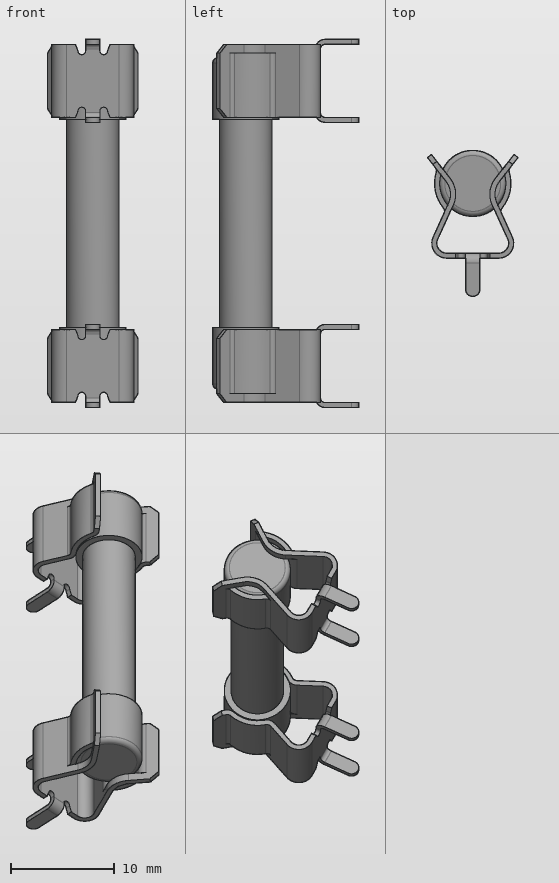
import cadquery as cq
import math


overall_width = 8.77
overall_depth = 14.13
overall_length = 35.6
sheet = 0.5

fuse_length = 32
tube_radius = 2.55
cap_radius = 3.2
cap_edge_radius = 0.5
cap_overhang = 0.2

clip_height = 7.05
stop_band = 0.85
plate_outer_y = -7.23
arm_angle = math.radians(24.5)
lip_angle = math.radians(38)
pinch_corner = (-1.536, -0.741)
base_bend_radius = 1.2
pinch_bend_radius = 2.25
saddle_bend_radius = 0.75
lip_chamfer = 0.85

pin_width = 1.4
pin_tip_y = cap_radius - overall_depth
pin_bend_radius = 0.45
notch_radius = 0.36
notch_straight = 0.62
notch_flare = 0.24

clip_top = overall_length / 2 - sheet
clip_bottom = clip_top - clip_height
saddle_top = clip_top - stop_band
plate_mid_y = plate_outer_y + sheet / 2
plate_inner_y = plate_outer_y + sheet
saddle_radius = cap_radius + sheet / 2
arm_direction = (math.sin(arm_angle), math.cos(arm_angle))
lip_direction = (-math.sin(lip_angle), math.cos(lip_angle))
base_corner = (
    pinch_corner[0] + (plate_mid_y - pinch_corner[1]) * math.tan(arm_angle),
    plate_mid_y,
)
lip_tip_x = -overall_width / 2 + sheet / 2 * math.cos(lip_angle)
lip_tip = (
    lip_tip_x,
    pinch_corner[1] + (pinch_corner[0] - lip_tip_x) / math.tan(lip_angle),
)


def along(point, direction, distance):
    return (point[0] + direction[0] * distance, point[1] + direction[1] * distance)


def unit(start, end):
    length = math.dist(start, end)
    return ((end[0] - start[0]) / length, (end[1] - start[1]) / length)


def rounded_corner(before, corner, after, radius):
    """Start, middle and end of the arc that rounds a corner of a path."""
    back = unit(corner, before)
    ahead = unit(corner, after)
    half_angle = math.acos(back[0] * ahead[0] + back[1] * ahead[1]) / 2
    setback = radius / math.tan(half_angle)
    inward = unit((0, 0), (back[0] + ahead[0], back[1] + ahead[1]))
    middle = along(corner, inward, radius / math.sin(half_angle) - radius)
    return along(corner, back, setback), middle, along(corner, ahead, setback)


def saddle_bend(direction, travel):
    """Arc joining a straight wall to the saddle around the cap, from wall to saddle.

    travel is +1 or -1: which way along the wall the bend lies from the pinch corner.
    """
    outward = (-direction[1], direction[0])
    offset_point = along(pinch_corner, outward, saddle_bend_radius)
    projection = offset_point[0] * direction[0] + offset_point[1] * direction[1]
    reach = saddle_radius + saddle_bend_radius
    square_gap = math.hypot(*offset_point) ** 2 - reach ** 2
    center = along(offset_point, direction, -projection + travel * math.sqrt(projection ** 2 - square_gap))
    on_wall = along(center, outward, -saddle_bend_radius)
    on_saddle = along((0, 0), unit((0, 0), center), saddle_radius)
    chord_middle = ((on_wall[0] + on_saddle[0]) / 2, (on_wall[1] + on_saddle[1]) / 2)
    middle = along(center, unit(center, chord_middle), saddle_bend_radius)
    return on_wall, middle, on_saddle


def start_path(z):
    """Mid-line of the wall from the middle of the base plate round the base bend."""
    start, middle, end = rounded_corner((0, plate_mid_y), base_corner, pinch_corner, base_bend_radius)
    path = cq.Workplane("XY", origin=(0, 0, z)).moveTo(0, plate_mid_y)
    return path.lineTo(*start).threePointArc(middle, end)


def pinched_path(z):
    start, middle, end = rounded_corner(base_corner, pinch_corner, lip_tip, pinch_bend_radius)
    return start_path(z).lineTo(*start).threePointArc(middle, end).lineTo(*lip_tip)


def saddle_path(z):
    arm_end, lower_middle, saddle_start = saddle_bend(arm_direction, -1)
    lip_start, upper_middle, saddle_end = saddle_bend(lip_direction, 1)
    path = start_path(z).lineTo(*arm_end).threePointArc(lower_middle, saddle_start)
    path = path.threePointArc((-saddle_radius, 0), saddle_end)
    return path.threePointArc(upper_middle, lip_start).lineTo(*lip_tip)


def wall(path_at, bottom, top):
    middle_z = (bottom + top) / 2
    section = cq.Workplane("YZ", origin=(0, plate_mid_y, middle_z)).rect(sheet, top - bottom)
    return section.sweep(path_at(middle_z))


def chamfer_lip(half_clip):
    """Bevel the two free corners of the lip at 45 degrees in the plane of the lip."""
    lip_plane = cq.Plane(
        origin=(lip_tip[0], lip_tip[1], 0),
        xDir=(-lip_direction[0], -lip_direction[1], 0),
        normal=(-lip_direction[1], lip_direction[0], 0),
    )
    for edge_z, inward in ((clip_top, -1), (clip_bottom, 1)):
        corner = (
            cq.Workplane(lip_plane)
            .polyline([(0, edge_z), (lip_chamfer, edge_z), (0, edge_z + inward * lip_chamfer)])
            .close()
            .extrude(sheet, both=True)
        )
        half_clip = half_clip.cut(corner)
    return half_clip


def pin_relief():
    """Gap in the upper edge of the base plate: the pin root and a notch on each side."""
    inner_x = pin_width / 2
    center_x = inner_x + notch_radius
    outer_x = center_x + notch_radius
    straight_z = clip_top - notch_straight
    notch = (
        cq.Workplane("XZ", origin=(0, plate_inner_y, 0))
        .moveTo(inner_x, clip_top)
        .lineTo(inner_x, straight_z)
        .threePointArc((center_x, straight_z - notch_radius), (outer_x, straight_z))
        .lineTo(outer_x + notch_flare, clip_top)
        .close()
        .extrude(sheet)
    )
    root = cq.Workplane("XY").box(pin_width, sheet, pin_bend_radius)
    root = root.translate((0, plate_mid_y, clip_top - pin_bend_radius / 2))
    return root.union(notch).union(notch.mirror("YZ"))


def pin():
    """Pin bent out of the upper edge of the base plate, with a half-round tip."""
    bend_y = plate_outer_y - pin_bend_radius
    bend_z = clip_top - pin_bend_radius
    outer_radius = pin_bend_radius + sheet
    diagonal = math.sqrt(0.5)
    profile = (
        cq.Workplane("YZ", origin=(-pin_width / 2, 0, 0))
        .moveTo(plate_inner_y, bend_z)
        .threePointArc(
            (bend_y + outer_radius * diagonal, bend_z + outer_radius * diagonal),
            (bend_y, clip_top + sheet),
        )
        .lineTo(pin_tip_y, clip_top + sheet)
        .lineTo(pin_tip_y, clip_top)
        .lineTo(bend_y, clip_top)
        .threePointArc(
            (bend_y + pin_bend_radius * diagonal, bend_z + pin_bend_radius * diagonal),
            (plate_outer_y, bend_z),
        )
        .close()
        .extrude(pin_width)
    )
    tip_center_y = pin_tip_y + pin_width / 2
    outline_length = plate_inner_y - tip_center_y
    tip_plane = cq.Workplane("XY", origin=(0, tip_center_y, bend_z))
    shank = tip_plane.center(0, outline_length / 2).rect(pin_width, outline_length).extrude(outer_radius)
    tip = tip_plane.circle(pin_width / 2).extrude(outer_radius)
    return profile.intersect(shank.union(tip))


def clip():
    half_clip = wall(saddle_path, clip_bottom, saddle_top).union(wall(pinched_path, saddle_top, clip_top))
    half_clip = chamfer_lip(half_clip)
    body = half_clip.union(half_clip.mirror("YZ"))
    middle_z = (clip_bottom + clip_top) / 2
    relief = pin_relief()
    bent_pin = pin()
    body = body.cut(relief).cut(relief.mirror("XY", (0, 0, middle_z)))
    return body.union(bent_pin).union(bent_pin.mirror("XY", (0, 0, middle_z)))


def cap():
    bottom = clip_bottom - cap_overhang
    blank = cq.Workplane("XY", origin=(0, 0, bottom)).circle(cap_radius).extrude(fuse_length / 2 - bottom)
    return blank.faces(">Z").edges().fillet(cap_edge_radius)


def tube():
    return cq.Workplane("XY").circle(tube_radius).extrude(fuse_length / 2 - cap_edge_radius, both=True)


fuse_end = cap().union(clip())
result = tube().union(fuse_end).union(fuse_end.mirror("XY"))